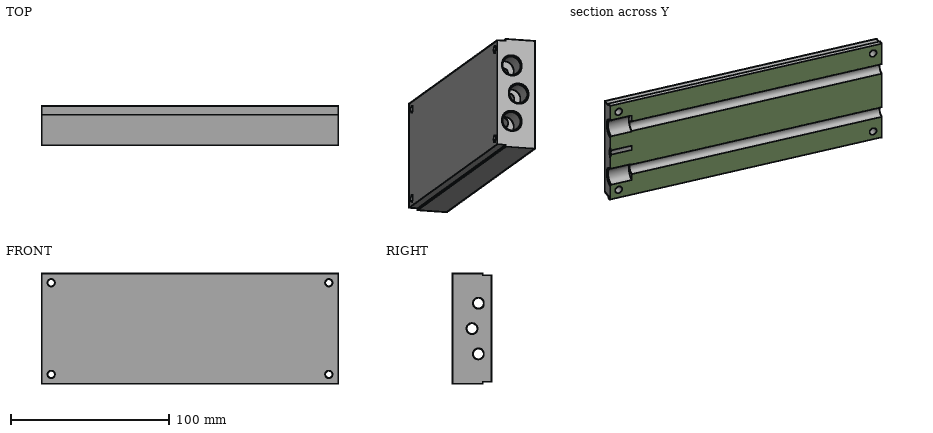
import cadquery as cq

length = 187.5
depth = 25.0
height = 70.0

rebate_depth = 5.6
rebate_height = 1.2

mount_hole_diameter = 4.5
mount_hole_inset = 6.0

port_diameter = 11.8
port_mouth_diameter = 13.3
port_depth = 15.0
passage_diameter = 6.8
outer_port_spacing = 36.0
outer_port_back_distance = 9.5
middle_port_front_distance = 10.9
outer_passage_spacing = 32.0
outer_passage_back_distance = 8.5

left_face = -length / 2
front_face = -depth / 2
back_face = depth / 2


def make_block():
    """Solid block, narrower in height along its back face."""
    front_depth = depth - rebate_depth
    front = cq.Workplane("XY").box(length, front_depth, height).translate((0, -rebate_depth / 2, 0))
    back_height = height - 2 * rebate_height
    back = cq.Workplane("XY").box(length, depth, back_height)
    return front.union(back)


def make_mount_holes():
    """Four through holes along Y, one in each corner."""
    return (
        cq.Workplane("XZ", origin=(0, back_face, 0))
        .rect(length - 2 * mount_hole_inset, height - 2 * mount_hole_inset, forConstruction=True)
        .vertices()
        .circle(mount_hole_diameter / 2)
        .extrude(depth)
    )


def make_port(port_y, port_z, passage_y, passage_z):
    """Blind port with a 45 degree mouth, and its passage through to the right end."""
    left_end = cq.Workplane("YZ", origin=(left_face, 0, 0))
    bore = left_end.center(port_y, port_z).circle(port_diameter / 2).extrude(port_depth)
    mouth_depth = (port_mouth_diameter - port_diameter) / 2
    mouth = (
        left_end.center(port_y, port_z)
        .circle(port_mouth_diameter / 2)
        .extrude(mouth_depth, taper=45)
    )
    passage = left_end.center(passage_y, passage_z).circle(passage_diameter / 2).extrude(length)
    return bore.union(mouth).union(passage)


result = make_block().cut(make_mount_holes())

middle_port_y = front_face + middle_port_front_distance
result = result.cut(make_port(middle_port_y, 0, 0, 0))

outer_port_y = back_face - outer_port_back_distance
outer_passage_y = back_face - outer_passage_back_distance
for side in (-1, 1):
    port_z = side * outer_port_spacing / 2
    passage_z = side * outer_passage_spacing / 2
    result = result.cut(make_port(outer_port_y, port_z, outer_passage_y, passage_z))